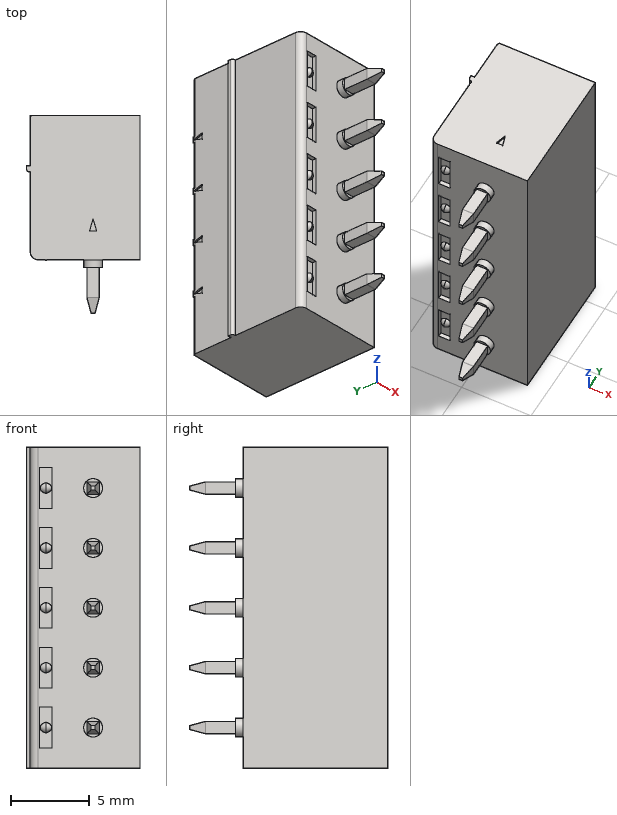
import cadquery as cq


pin_count = 5
pitch = 3.81
pin_heights = [(i - (pin_count - 1) / 2) * pitch for i in range(pin_count)]
mark_heights = [z + pitch / 2 for z in pin_heights[:-1]]

housing_left = -4.0
housing_width = 7.0
housing_depth = 9.2
housing_height = 20.44
housing_top = housing_height / 2
front_edge_radius = 0.5
back_chamfer_x = 0.08
back_chamfer_y = 0.15

rib_back = housing_depth - 3.2
rib_flat = 0.2
rib_height = 0.25
rib_edge_radius = 0.2

collar_diameter = 1.2
collar_length = 0.5
pin_width = 0.8
pin_shank_end = 2.4
pin_length = 3.4
tip_width = 0.26

window_width = 0.8
window_height = 2.6
window_depth = 0.3
window_x = -3.0
contact_crest_radius = 0.34
contact_end_radius = 0.12
contact_half_length = 0.35
contact_bulge = 0.04

mark_width = 0.45
mark_length = 0.75
mark_depth = 0.12
top_mark_base = 1.85


def make_housing():
    """Block with a rounded pin-side edge and a chamfered back edge on the -X side."""
    block = cq.Workplane("XY").box(
        housing_width, housing_depth, housing_height, centered=(False, False, True)
    )
    block = block.translate((housing_left, 0, 0))
    block = block.edges("|Z and <X and <Y").fillet(front_edge_radius)
    back_left = housing_depth - back_chamfer_y
    bevel = (
        cq.Workplane("XY", origin=(0, 0, -housing_top))
        .moveTo(housing_left, back_left)
        .lineTo(housing_left, housing_depth)
        .lineTo(housing_left + back_chamfer_x, housing_depth)
        .close()
        .extrude(housing_height)
    )
    return block.cut(bevel)


def make_rib():
    """Full-height rib on the -X side with its pin-side edge rounded."""
    rib_width = rib_flat + rib_edge_radius
    rib = cq.Workplane("XY").box(
        rib_height, rib_width, housing_height, centered=(False, False, True)
    )
    rib = rib.edges("|Z and <X and <Y").fillet(rib_edge_radius)
    return rib.translate((housing_left - rib_height, rib_back - rib_width, 0))


def make_pin(z):
    """Round collar, square shank and square tapered tip, pointing toward -Y."""
    base = cq.Workplane("XZ", origin=(0, 0, z))
    collar = base.circle(collar_diameter / 2).extrude(collar_length)
    shank = base.rect(pin_width, pin_width).extrude(pin_shank_end)
    tip = (
        base.workplane(offset=pin_shank_end)
        .rect(pin_width, pin_width)
        .workplane(offset=pin_length - pin_shank_end)
        .rect(tip_width, tip_width)
        .loft(ruled=True)
    )
    return collar.union(shank).union(tip)


def make_window(z):
    """Rectangular recess in the pin side."""
    return (
        cq.Workplane("XZ", origin=(window_x, 0, z))
        .rect(window_width, window_height)
        .extrude(-window_depth)
    )


def make_contact(z):
    """Barrel about an X axis on the window floor, bowed down from a central crest to both ends."""
    bow_x = contact_half_length / 2
    bow_radius = (contact_crest_radius + contact_end_radius) / 2 + contact_bulge
    return (
        cq.Workplane("XY", origin=(window_x, window_depth, z))
        .moveTo(-contact_half_length, 0)
        .lineTo(-contact_half_length, contact_end_radius)
        .threePointArc((-bow_x, bow_radius), (0, contact_crest_radius))
        .threePointArc((bow_x, bow_radius), (contact_half_length, contact_end_radius))
        .lineTo(contact_half_length, 0)
        .close()
        .revolve(360, (0, 0, 0), (1, 0, 0))
    )


def make_mark_corner(z):
    """Small block that keeps the back edge square beside a side mark."""
    corner = cq.Workplane("XY").box(
        back_chamfer_x, back_chamfer_y, mark_width, centered=(False, False, True)
    )
    return corner.translate((housing_left, housing_depth - back_chamfer_y, z))


def make_side_mark(z):
    """Triangular cutter for the -X side, its apex on the back edge."""
    base_y = housing_depth - mark_length
    half_width = mark_width / 2
    return (
        cq.Workplane("YZ", origin=(housing_left, 0, z))
        .polyline([(housing_depth, 0), (base_y, half_width), (base_y, -half_width)])
        .close()
        .extrude(mark_depth)
    )


def make_top_mark():
    """Triangular cutter for the top face, its apex toward +Y."""
    apex_y = top_mark_base + mark_length
    half_width = mark_width / 2
    return (
        cq.Workplane("XY", origin=(0, 0, housing_top))
        .polyline([(0, apex_y), (half_width, top_mark_base), (-half_width, top_mark_base)])
        .close()
        .extrude(-mark_depth)
    )


result = make_housing().union(make_rib())
for height in pin_heights:
    result = result.cut(make_window(height)).union(make_contact(height)).union(make_pin(height))
for height in mark_heights:
    result = result.union(make_mark_corner(height)).cut(make_side_mark(height))
result = result.cut(make_top_mark())